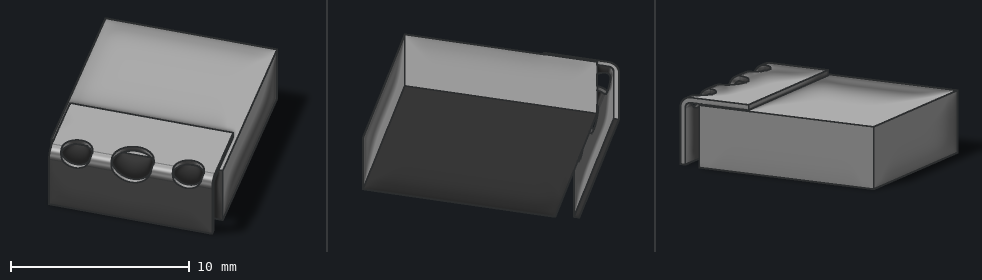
import cadquery as cq
import math

block_width = 10.0
block_length = 11.07
block_height = 3.6

sheet = 0.31
cover_width = 9.5
cover_length = 4.33
inner_radius = 0.31
overall_length = 12.4

small_hole_diameter = 1.76
small_hole_spacing = 3.25
large_hole_diameter = 2.38
hole_offset = 0.15

outer_radius = inner_radius + sheet
neutral_radius = inner_radius + sheet / 2
bend_length = neutral_radius * math.pi / 2
top = block_height + sheet
front = block_length - overall_length
bend_y = front + outer_radius
bend_z = top - outer_radius

cut_margin = 0.12
cut_depth = sheet + 2 * cut_margin
bend_sections = 9


def make_block():
    return cq.Workplane("XY").box(block_width, block_length, block_height, centered=(True, False, False))


def make_cover():
    back = front + cover_length
    profile = (
        cq.Workplane("YZ")
        .moveTo(front, 0)
        .lineTo(front, bend_z)
        .radiusArc((bend_y, top), outer_radius)
        .lineTo(back, top)
        .lineTo(back, block_height)
        .lineTo(bend_y, block_height)
        .radiusArc((front + sheet, bend_z), -inner_radius)
        .lineTo(front + sheet, 0)
        .close()
    )
    return profile.extrude(cover_width / 2, both=True)


def hole_half_width(radius, distance):
    """Half width of a hole at a distance along the flat sheet from the start of the bend."""
    return math.sqrt(radius**2 - (distance - hole_offset) ** 2)


def leg_cutter(plane, half_width, reach):
    """Part of a hole in a flat leg: a circle segment on the bend line, reaching along local Y."""
    return (
        cq.Workplane(plane)
        .moveTo(-half_width, 0)
        .threePointArc((0, reach), (half_width, 0))
        .close()
        .extrude(cut_depth)
    )


def bend_cutter(x, radius):
    """Part of a hole in the bend: a loft through radial sections around the bend axis."""
    sections = []
    for i in range(bend_sections):
        angle = math.pi / 2 * i / (bend_sections - 1)
        radial = cq.Vector(0, -math.sin(angle), math.cos(angle))
        tangent = cq.Vector(0, -math.cos(angle), -math.sin(angle))
        centre = cq.Vector(x, bend_y, bend_z) + radial * neutral_radius
        plane = cq.Plane(origin=centre, xDir=(1, 0, 0), normal=tangent)
        width = 2 * hole_half_width(radius, neutral_radius * angle)
        sections.append(cq.Workplane(plane).rect(width, cut_depth).wires().val())
    return cq.Workplane(cq.Solid.makeLoft(sections))


def punch_hole(cover, x, diameter):
    radius = diameter / 2
    top_plane = cq.Plane(origin=(x, bend_y, block_height - cut_margin), xDir=(1, 0, 0), normal=(0, 0, 1))
    front_plane = cq.Plane(origin=(x, front + sheet + cut_margin, bend_z), xDir=(1, 0, 0), normal=(0, -1, 0))
    top_reach = radius - hole_offset
    front_reach = radius + hole_offset - bend_length
    top_cutter = leg_cutter(top_plane, hole_half_width(radius, 0), top_reach)
    front_cutter = leg_cutter(front_plane, hole_half_width(radius, bend_length), -front_reach)
    return cover.cut(top_cutter).cut(bend_cutter(x, radius)).cut(front_cutter)


cover = make_cover()
for side in (-1, 1):
    cover = punch_hole(cover, side * small_hole_spacing, small_hole_diameter)
cover = punch_hole(cover, 0, large_hole_diameter)

result = make_block().union(cover)